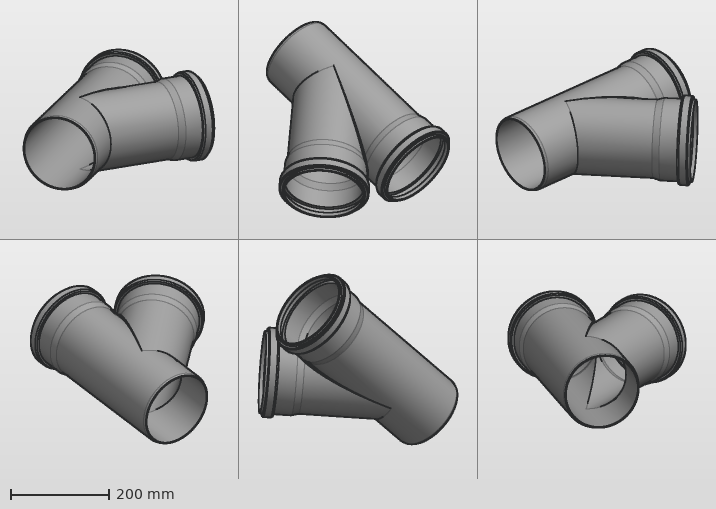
import cadquery as cq

run_length = 381.5
branch_height = 118.3
branch_length = 262.5
branch_angle = 45.0
pipe_radius = 160.2 / 2
bore_radius = 152.0 / 2
spigot_chamfer_length = 6.0
spigot_chamfer_depth = 2.0

web_reach = 223.5
web_thickness = 3.5

socket_radius = 168.5 / 2
socket_bore_radius = 161.5 / 2
bead_radius = 183.0 / 2
groove_radius = 175.5 / 2

bead_start = 5.5
bead_end = 26.7
bead_front_chamfer = 2.3
bead_rear_chamfer = 4.0
bead_rear_drop = 2.3
groove_start = 9.0
groove_end = 23.0
cone_start = 64.0
cone_end = 79.0


def revolve_profile(points):
    """Revolve a closed (radius, distance) outline around the Y axis."""
    return cq.Workplane("XY").polyline(points).close().revolve(360, (0, 0, 0), (0, 1, 0))


def socket_outside(mouth):
    """Outer points of a socket from its cone up to its mouth."""
    return [
        (pipe_radius, mouth - cone_end),
        (socket_radius, mouth - cone_start),
        (socket_radius, mouth - bead_end),
        (bead_radius - bead_rear_drop, mouth - bead_end),
        (bead_radius, mouth - bead_end + bead_rear_chamfer),
        (bead_radius, mouth - bead_start - bead_front_chamfer),
        (bead_radius - bead_front_chamfer, mouth - bead_start),
        (socket_radius, mouth - bead_start),
        (socket_radius, mouth),
        (0, mouth),
    ]


def socket_inside(mouth):
    """Inner points of a socket, with the seal groove behind its mouth."""
    return [
        (bore_radius, mouth - cone_end),
        (socket_bore_radius, mouth - cone_start),
        (socket_bore_radius, mouth - groove_end),
        (groove_radius, mouth - groove_end),
        (groove_radius, mouth - groove_start),
        (socket_bore_radius, mouth - groove_start),
        (socket_bore_radius, mouth),
        (0, mouth),
    ]


def place_branch(body):
    """Tilt a body about the origin toward +X and lift it to the branch point."""
    return body.rotate((0, 0, 0), (0, 0, 1), -branch_angle).translate((0, branch_height, 0))


def crotch_web():
    """Half-elliptical wedge in the plane midway between the two axes.

    It tapers to nothing at the branch point and is thickest at its tip in the crotch.
    """
    half_thickness = web_thickness / 2
    wedge = (
        cq.Workplane("XY")
        .polyline([(0, 0), (half_thickness, web_reach), (-half_thickness, web_reach)])
        .close()
        .extrude(pipe_radius, both=True)
    )
    ellipse = cq.Workplane("YZ").ellipse(web_reach, pipe_radius).extrude(web_thickness, both=True)
    web = wedge.intersect(ellipse)
    return web.rotate((0, 0, 0), (0, 0, 1), -branch_angle / 2).translate((0, branch_height, 0))


spigot_outside = [
    (0, 0),
    (pipe_radius - spigot_chamfer_depth, 0),
    (pipe_radius, spigot_chamfer_length),
]
run = revolve_profile(spigot_outside + socket_outside(run_length))
run_bore = revolve_profile([(0, 0), (bore_radius, 0)] + socket_inside(run_length))

branch = place_branch(revolve_profile([(0, 0), (pipe_radius, 0)] + socket_outside(branch_length)))
branch_bore = place_branch(revolve_profile([(0, 0), (bore_radius, 0)] + socket_inside(branch_length)))

result = run.union(branch).union(crotch_web()).cut(run_bore).cut(branch_bore)